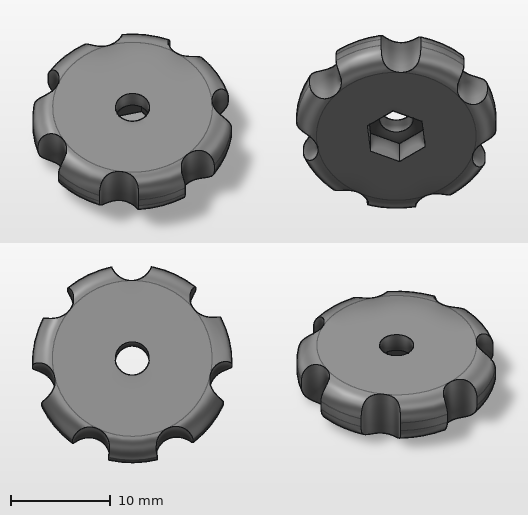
import cadquery as cq
import math

outer_diameter = 19.99
thickness = 5.0
bore_diameter = 3.4
nut_across_flats = 5.5
nut_pocket_depth = 3.0
rim_radius = 2.0
scallop_count = 7
scallop_diameter = 4.0


def rounded_disc():
    """Disc centred on the origin, with both rim edges rounded."""
    disc = cq.Workplane("XY").circle(outer_diameter / 2).extrude(thickness / 2, both=True)
    return disc.edges("%CIRCLE").fillet(rim_radius)


def scallop_cutters():
    """Upright cylinders centred on the outer circle, the first one on +X."""
    return (
        cq.Workplane("XY")
        .polarArray(outer_diameter / 2, 0, 360, scallop_count)
        .circle(scallop_diameter / 2)
        .extrude(thickness, both=True)
    )


def bore_cutter():
    """Cylinder that opens the central through hole."""
    return cq.Workplane("XY").circle(bore_diameter / 2).extrude(thickness, both=True)


def nut_pocket_cutter():
    """Hexagonal pocket in the bottom face, with two corners on the X axis."""
    across_corners = nut_across_flats / math.cos(math.pi / 6)
    return (
        cq.Workplane("XY")
        .workplane(offset=-thickness / 2)
        .polygon(6, across_corners)
        .extrude(nut_pocket_depth)
    )


result = rounded_disc().cut(scallop_cutters()).cut(bore_cutter()).cut(nut_pocket_cutter())